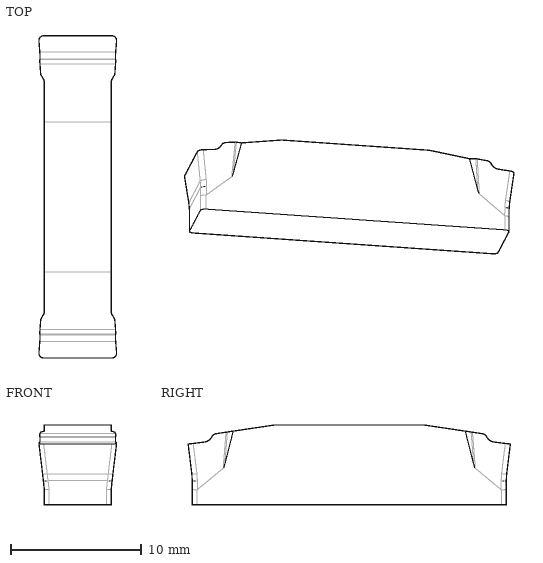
import cadquery as cq
import math

half_length = 12.38
height = 6.15
core_half_width = 2.58

relief_angle = math.radians(7)
edge_height = 4.68
relief_bottom = 2.38
foot_top = 1.85
relief_y = half_length - (edge_height - relief_bottom) * math.tan(relief_angle)
foot_y = relief_y - (relief_bottom - foot_top) * math.tan(relief_angle / 2)
arc_radius = (relief_bottom - foot_top) / math.sin(relief_angle)
arc_mid_y = foot_y + arc_radius * (1 - math.cos(relief_angle / 2))
arc_mid_z = foot_top + arc_radius * math.sin(relief_angle / 2)

land_y = 10.77
land_z = 4.88
step_y = 10.43
step_z = 5.45
flat_half_length = 5.77
land_radius = 0.72
step_radius = 0.5

wing_half_width = 3.02
side_angle = math.radians(6.2)
plan_taper = 0.09
corner_radius = 0.37

flare_top = cq.Vector(core_half_width, 8.92, 5.65)
flare_bottom = cq.Vector(core_half_width, 9.6, 2.92)
flare_wing = cq.Vector(2.85, 9.41, 5.55)
crease_radius = 0.25
crease_z = 4.45

corner_box_inner = core_half_width - 0.25
box_margin = 0.02

block_half_width = 3.72
wing_stock_start = 7.93
wing_stock_end = half_length + 0.25
trim_size = 29.72


def mirror_both_ways(body):
    """Join a body at +Y to its mirror image at -Y."""
    return body.union(body.mirror("XZ"))


def side_profile():
    """Extrude the length-height outline, then round both steps."""
    half = (
        cq.Workplane("YZ", origin=(-block_half_width, 0, 0))
        .lineTo(foot_y, 0)
        .lineTo(foot_y, foot_top)
        .threePointArc((arc_mid_y, arc_mid_z), (relief_y, relief_bottom))
        .lineTo(half_length, edge_height)
        .lineTo(land_y, land_z)
        .lineTo(step_y, step_z)
        .lineTo(flat_half_length, height)
        .lineTo(0, height)
        .close()
        .extrude(2 * block_half_width)
    )
    half = half.edges(cq.selectors.NearestToPointSelector((0, land_y, land_z))).fillet(land_radius)
    half = half.edges(cq.selectors.NearestToPointSelector((0, step_y, step_z))).fillet(step_radius)
    return mirror_both_ways(half)


def outside_of(point, normal):
    """Large block filling the side of a plane that its normal points to."""
    return cq.Workplane(cq.Plane(point, normal=normal)).rect(trim_size, trim_size).extrude(trim_size)


def wing():
    """Wing stock at +Y, trimmed by the tapered side faces and the flares."""
    body = cq.Workplane("XY").box(
        2 * block_half_width, wing_stock_end - wing_stock_start, height, centered=(True, False, False)
    ).translate((0, wing_stock_start, 0))
    side_normal = cq.Vector(1, -plan_taper, -math.tan(side_angle))
    flare_normal = (flare_bottom - flare_top).cross(flare_wing - flare_top)
    side_trim = outside_of(cq.Vector(wing_half_width, half_length, edge_height), side_normal)
    flare_trim = outside_of(flare_top, flare_normal)
    for trim in (side_trim, flare_trim):
        body = body.cut(trim).cut(trim.mirror("YZ"))
    return body


core = cq.Workplane("XY").box(
    2 * core_half_width, 2 * wing_stock_end, height, centered=(True, True, False)
)
result = core.union(mirror_both_ways(wing())).intersect(side_profile())

for side in (-1, 1):
    for end in (-1, 1):
        crease_point = (side * flare_wing.x, end * flare_wing.y, crease_z)
        crease = cq.selectors.NearestToPointSelector(crease_point)
        result = result.edges(crease).fillet(crease_radius)

for side in (-1, 1):
    for end in (-1, 1):
        corner = cq.selectors.BoxSelector(
            (side * corner_box_inner, end * (foot_y - box_margin), -box_margin),
            (side * block_half_width, end * wing_stock_end, edge_height + box_margin),
            boundingbox=True,
        )
        result = result.edges(corner).fillet(corner_radius)